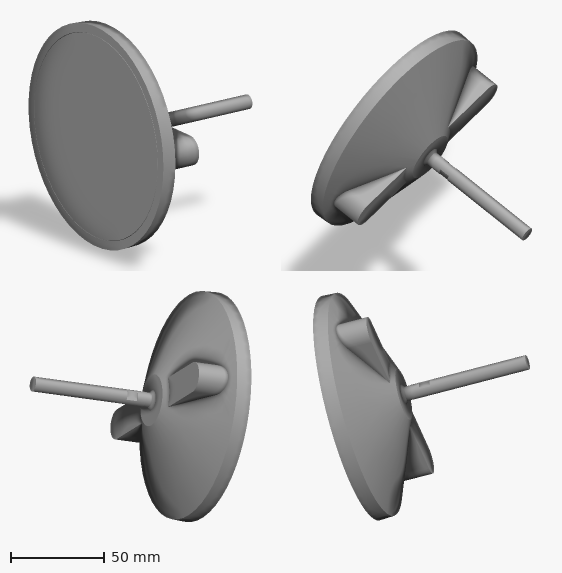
import cadquery as cq


dish_diameter = 124.0
rim_height = 8.2
rim_taper = 0.4
dish_height = 30.0
dish_top_diameter = 28.0

groove_outer_diameter = 114.0
groove_inner_diameter = 113.5
groove_depth = 1.0

bar_width = 16.5
bar_end_spacing = 95.0
bar_base = 6.0
bar_top = 28.0

foot_diameter = 11.0
foot_height = 1.35
rod_diameter = 8.0
rod_tip = 100.0
neck_diameter = 7.8
neck_end = 34.85

flats_start = 40.0
flats_end = 46.0
flats_width = 6.0


def make_cylinder(diameter, start, end):
    """Cylinder on the part axis from y = start to y = end."""
    disc = cq.Workplane("XZ", origin=(0, start, 0)).circle(diameter / 2)
    return disc.extrude(start - end)


def make_dish():
    profile = (
        cq.Workplane("XY")
        .lineTo(dish_diameter / 2, 0)
        .lineTo(dish_diameter / 2 - rim_taper, rim_height)
        .lineTo(dish_top_diameter / 2, dish_height)
        .lineTo(0, dish_height)
        .close()
    )
    return profile.revolve(360, (0, 0), (0, 1))


def make_groove():
    outer = make_cylinder(groove_outer_diameter, 0, groove_depth)
    inner = make_cylinder(groove_inner_diameter, 0, groove_depth)
    return outer.cut(inner)


def make_bar():
    outline = cq.Workplane("XZ", origin=(0, bar_base, 0)).slot2D(bar_end_spacing + bar_width, bar_width)
    return outline.extrude(bar_base - bar_top)


def make_stud():
    foot = (
        cq.Workplane("XZ", origin=(0, dish_height, 0))
        .circle(foot_diameter / 2)
        .workplane(offset=-foot_height)
        .circle(neck_diameter / 2)
        .loft()
    )
    neck = make_cylinder(neck_diameter, dish_height, neck_end)
    shank = make_cylinder(rod_diameter, neck_end, rod_tip)
    flats_length = flats_end - flats_start
    flats_middle = (flats_start + flats_end) / 2
    between_flats = cq.Workplane("XY").box(flats_width, flats_length, rod_diameter)
    waste = cq.Workplane("XY").box(2 * rod_diameter, flats_length, 2 * rod_diameter).cut(between_flats)
    shank = shank.cut(waste.translate((0, flats_middle, 0)))
    return foot.union(neck).union(shank)


result = make_dish().cut(make_groove()).union(make_bar()).union(make_stud())